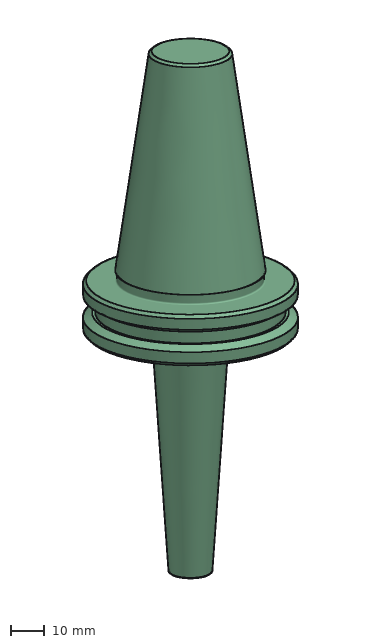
import cadquery as cq
import math


gauge_diameter = 44.45
shank_length = 68.4
shank_taper = 7 / 24
shank_chamfer = 0.8

collar_length = 3.2
collar_fillet = 0.5

flange_diameter = 63.5
flange_thickness = 15.9
flange_chamfer = 1.0
groove_centre_depth = 11.1
groove_floor_diameter = 56.25
groove_mouth_width = 7.0
groove_floor_width = 3.9
groove_flank_angle = 30.0

nose_length = 75.0
nose_root_diameter = 23.0
nose_tip_diameter = 13.0
nose_tip_chamfer = 0.4
nose_root_fillet = 5.0

flange_top = -collar_length
flange_bottom = flange_top - flange_thickness
nose_tip = flange_bottom - nose_length


def revolve_about_z(profile):
    """Full turn of a closed profile, drawn on an XZ plane, about the part's axis."""
    full_turn = 360
    return profile.revolve(full_turn, (0, 0, 0), (0, 1, 0))


def make_shank():
    """Truncated cone above the gauge plane, with a chamfered small end."""
    gauge_radius = gauge_diameter / 2
    end_radius = gauge_radius - shank_length * shank_taper / 2
    profile = (
        cq.Workplane("XZ")
        .moveTo(0, 0)
        .lineTo(gauge_radius, 0)
        .lineTo(end_radius, shank_length)
        .lineTo(0, shank_length)
        .close()
    )
    cone = revolve_about_z(profile)
    return cone.faces(">Z").edges().chamfer(shank_chamfer)


def make_collar():
    """Relieved neck from gauge plane to flange, flaring out through a fillet at both ends."""
    outer_radius = gauge_diameter / 2
    collar_radius = outer_radius - collar_fillet
    profile = (
        cq.Workplane("XZ")
        .moveTo(0, 0)
        .lineTo(outer_radius, 0)
        .radiusArc((collar_radius, -collar_fillet), -collar_fillet)
        .lineTo(collar_radius, flange_top + collar_fillet)
        .radiusArc((outer_radius, flange_top), -collar_fillet)
        .lineTo(0, flange_top)
        .close()
    )
    return revolve_about_z(profile)


def make_groove():
    """Ring cut from the flange rim: sloping flanks, a narrow flat ledge, then a square-cornered floor."""
    rim_radius = flange_diameter / 2
    floor_radius = groove_floor_diameter / 2
    half_mouth = groove_mouth_width / 2
    half_floor = groove_floor_width / 2
    flank_run = (half_mouth - half_floor) / math.tan(math.radians(groove_flank_angle))
    ledge_radius = rim_radius - flank_run
    profile = (
        cq.Workplane("XZ", origin=(0, 0, -groove_centre_depth))
        .moveTo(rim_radius, half_mouth)
        .lineTo(ledge_radius, half_floor)
        .lineTo(floor_radius, half_floor)
        .lineTo(floor_radius, -half_floor)
        .lineTo(ledge_radius, -half_floor)
        .lineTo(rim_radius, -half_mouth)
        .close()
    )
    return revolve_about_z(profile)


def make_flange():
    """Chamfered disc with the V-groove around its rim."""
    disc = (
        cq.Workplane("XY", origin=(0, 0, flange_bottom))
        .circle(flange_diameter / 2)
        .extrude(flange_thickness)
        .edges("%CIRCLE")
        .chamfer(flange_chamfer)
    )
    return disc.cut(make_groove())


def make_nose():
    """Slender cone below the flange, with a chamfered tip."""
    profile = (
        cq.Workplane("XZ")
        .moveTo(0, flange_bottom)
        .lineTo(nose_root_diameter / 2, flange_bottom)
        .lineTo(nose_tip_diameter / 2, nose_tip)
        .lineTo(0, nose_tip)
        .close()
    )
    cone = revolve_about_z(profile)
    return cone.faces("<Z").edges().chamfer(nose_tip_chamfer)


def join_nose(flange, nose):
    """Unite flange and nose and round the corner between them."""
    joined = flange.union(nose)
    root_corner = cq.selectors.RadiusNthSelector(0)
    underside_point = (0, 0, flange_bottom)
    flange_underside = joined.faces("-Z").faces(cq.selectors.NearestToPointSelector(underside_point))
    return flange_underside.edges(root_corner).fillet(nose_root_fillet)


holder = join_nose(make_flange(), make_nose())
result = holder.union(make_collar()).union(make_shank())